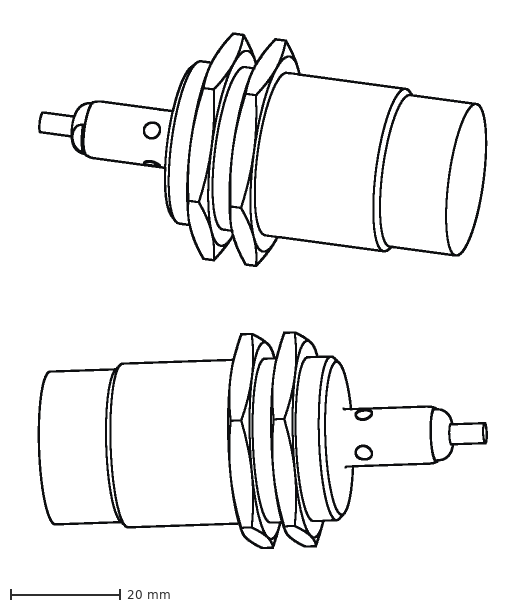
import cadquery as cq
import math


total_length = 80.37
cable_diameter = 3.7

relief_start = 6.3
relief_diameter = 9.4
relief_edge_radius = 2.5
relief_flat_offset = 3.72

neck_start = 9.2
neck_diameter = 10.5
neck_nose_diameter = 9.9
neck_nose_length = 1.3
neck_root_fillet = 0.5

indicator_diameter = 3.0
indicator_x = 21.85
indicator_depth = 0.15
indicator_count = 4

barrel_start = 28.1
barrel_end = 67.85
barrel_diameter = 30.0
barrel_chamfer = 1.0
end_cone_rise = 0.75
cap_diameter = 28.0

nut_across_flats = 36.0
nut_thickness = 4.0
nut_pitch = 8.0
first_nut_x = 32.4
nut_count = 2
nut_chamfer_angle = 20.0

cable_radius = cable_diameter / 2
relief_radius = relief_diameter / 2
neck_radius = neck_diameter / 2
barrel_radius = barrel_diameter / 2
end_face_radius = barrel_radius - barrel_chamfer
chamfer_start = barrel_start - barrel_chamfer
neck_end = chamfer_start - end_cone_rise
neck_nose_end = neck_start + neck_nose_length
neck_nose_drop = (neck_diameter - neck_nose_diameter) / 2
neck_nose_arc_radius = (neck_nose_length**2 + neck_nose_drop**2) / (2 * neck_nose_drop)
relief_arc_end = relief_start + relief_edge_radius
nut_corner_radius = nut_across_flats / math.sqrt(3)


def arc_middle(tangent_x, tangent_radius, arc_radius, arc_length_x):
    """Middle point of a rounded edge that runs tangent into a cylinder at tangent_x."""
    half_angle = math.asin(arc_length_x / arc_radius) / 2
    return (
        tangent_x - arc_radius * math.sin(half_angle),
        tangent_radius - arc_radius * (1 - math.cos(half_angle)),
    )


def make_sensor():
    relief_middle = arc_middle(
        relief_arc_end, relief_radius, relief_edge_radius, relief_edge_radius
    )
    nose_middle = arc_middle(
        neck_nose_end, neck_radius, neck_nose_arc_radius, neck_nose_length
    )
    root_step = neck_root_fillet * math.sqrt(0.5)
    root_middle = (
        neck_end - neck_root_fillet + root_step,
        neck_radius + neck_root_fillet - root_step,
    )
    profile = (
        cq.Workplane("XY")
        .moveTo(0, 0)
        .lineTo(0, cable_radius)
        .lineTo(relief_start, cable_radius)
        .lineTo(relief_start, relief_radius - relief_edge_radius)
        .threePointArc(relief_middle, (relief_arc_end, relief_radius))
        .lineTo(neck_start, relief_radius)
        .lineTo(neck_start, neck_nose_diameter / 2)
        .threePointArc(nose_middle, (neck_nose_end, neck_radius))
        .lineTo(neck_end - neck_root_fillet, neck_radius)
        .threePointArc(root_middle, (neck_end, neck_radius + neck_root_fillet))
        .lineTo(chamfer_start, end_face_radius)
        .lineTo(barrel_start, barrel_radius)
        .lineTo(barrel_end - barrel_chamfer, barrel_radius)
        .lineTo(barrel_end, cap_diameter / 2)
        .lineTo(total_length, cap_diameter / 2)
        .lineTo(total_length, 0)
        .close()
    )
    sensor = profile.revolve(360, (0, 0, 0), (1, 0, 0))
    return cut_indicators(cut_relief_flat(sensor))


def cut_relief_flat(sensor):
    """Flat on the -Y side of the strain relief."""
    flat_cutter = cq.Workplane("XY").box(
        relief_edge_radius, relief_radius, relief_diameter, centered=(False, False, True)
    )
    flat_y = -relief_flat_offset - relief_radius
    return sensor.cut(flat_cutter.translate((relief_start, flat_y, 0)))


def cut_indicators(sensor):
    """Shallow round windows spaced evenly around the neck, with floors concentric to it."""
    spacing = 360 / indicator_count
    bore = (
        cq.Workplane("XY", origin=(indicator_x, 0, 0))
        .circle(indicator_diameter / 2)
        .extrude(neck_diameter)
    )
    core = (
        cq.Workplane("YZ", origin=(indicator_x - indicator_diameter, 0, 0))
        .circle(neck_radius - indicator_depth)
        .extrude(2 * indicator_diameter)
    )
    window = bore.cut(core)
    for index in range(indicator_count):
        angle = (index + 0.5) * spacing
        sensor = sensor.cut(window.rotate((0, 0, 0), (1, 0, 0), angle))
    return sensor


def make_nut(start_x):
    """Hex nut with conical corner chamfers on both faces, corners along Y."""
    corner_chamfer = (nut_corner_radius - nut_across_flats / 2) * math.tan(
        math.radians(nut_chamfer_angle)
    )
    hexagon = cq.Workplane("YZ").polygon(6, 2 * nut_corner_radius).extrude(nut_thickness)
    envelope = (
        cq.Workplane("XY")
        .moveTo(0, barrel_radius)
        .lineTo(0, nut_across_flats / 2)
        .lineTo(corner_chamfer, nut_corner_radius)
        .lineTo(nut_thickness - corner_chamfer, nut_corner_radius)
        .lineTo(nut_thickness, nut_across_flats / 2)
        .lineTo(nut_thickness, barrel_radius)
        .close()
        .revolve(360, (0, 0, 0), (1, 0, 0))
    )
    return hexagon.intersect(envelope).translate((start_x, 0, 0))


sensor = make_sensor()
nuts = [make_nut(first_nut_x + index * nut_pitch) for index in range(nut_count)]

result = cq.Compound.makeCompound([sensor.val(), *[nut.val() for nut in nuts]])